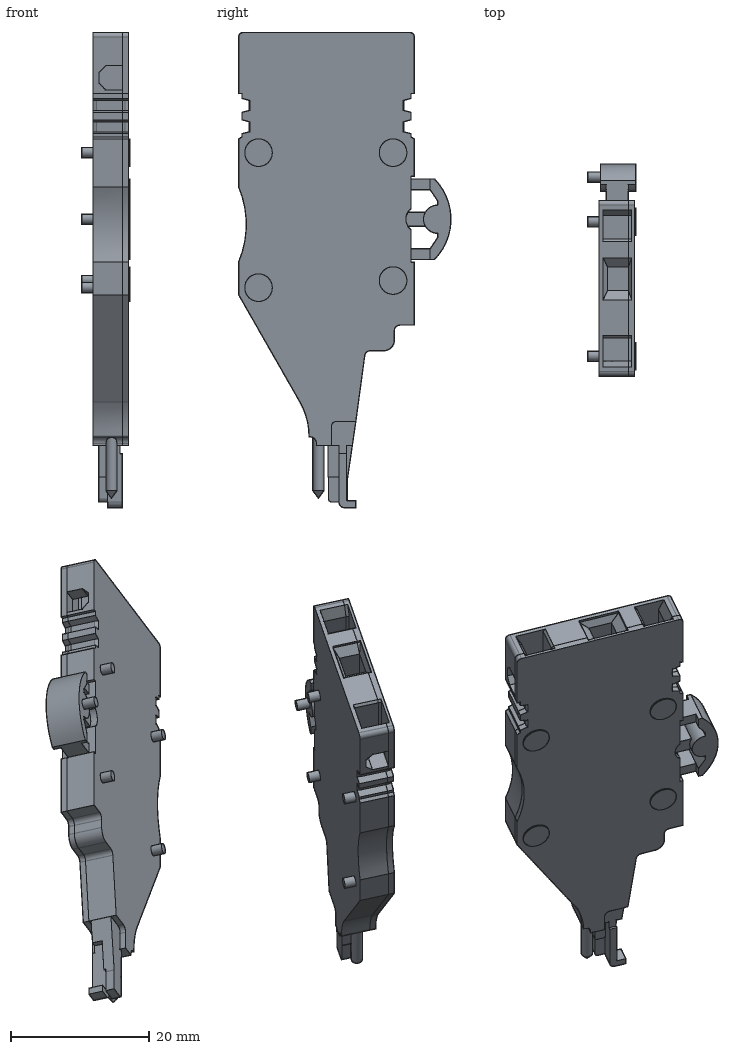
import cadquery as cq
import math

height = 68.8
width = 25.5
thickness = 5.15
seam_x = 4.3
top_round = 0.7

band_top = 59.95
band_bottom = 53.7
band_depth = 0.5
band_slope = 0.3
groove_depth = 1.5
groove_height = 2.0
groove_side_slope = 0.3
groove_tops = (59.25, 56.15)
groove_bevel_x = 0.55
groove_bevel_depth = 0.15

hollow_top = 46.45
hollow_bottom = 35.6
hollow_depth = 1.1

slope_top = 30.85
throat_y = 10.2
throat_z = 13.0
throat_round = 10.0
tongue_front_y = 11.3
tongue_back_y = 13.4
tongue_top = 10.25
tongue_bottom = 9.0
shoulder_z = 26.4
shoulder_y = 22.6
heel_z = 22.7
heel_y = 18.4
heel_round = 1.6
inner_round = 0.75
tongue_cove = 0.95
foot_top = 12.5
foot_back_y = 17.0
foot_round = 0.8

lever_z = 41.8
lever_half_height = 5.85
seat_depth = 0.5
seat_half_height = 6.2
notch_half_height = 1.5
notch_depth = 0.75

pocket_start_x = 0.6
pocket_end_x = 4.75
pocket_length = 4.55
pocket_start_y = 1.4
lead_in = 0.35
slope_length = 0.8
slope_drop = 1.7
window_bottom = 60.5
window_top = 64.0
window_wall = 0.9
window_chamfer = 0.95
funnel_y = (11.1, 17.15)
funnel_inset = 1.3
funnel_inset_x = 0.6
funnel_lip = 0.35
funnel_drop = 1.0
funnel_floor = 61.95

peg_radius = 0.75
peg_length = 1.65
boss_radius = 2.0
boss_height = 0.2
peg_places = ((2.9, 51.4), (22.4, 51.4), (22.4, 32.9), (2.9, 31.9))

lever_shift = boss_height
lever_tip_y = 30.8
lever_corner_y = 28.35
lever_inner_y = 27.75
lever_web_y = 28.85
lever_web_half_height = 2.6
hub_y = 28.85
hub_radius = 2.05
arm_height = 1.6
stem_half_height = 1.0
stem_start_x = 1.0

foot_start_x = 0.8
arm_end_x = 2.1
arm_upper_end_x = 2.4
arm_step_z = 4.5
arm_front_y = 12.95
arm_draft = 0.1
arm_back_y = 15.75
arm_taper_end = 4.05
arm_bottom = 0.8
arm_round = 0.5
hook_front_y = 14.5
hook_back_y = 15.6
hook_tip_y = foot_back_y
hook_lip = 1.0
hook_neck_x = 3.9
hook_neck_bottom = 7.85
hook_round = 0.8

pin_x = 2.7
pin_y = 11.55
pin_radius = 0.8
pin_shoulder = 2.5
pin_tip = 1.4
pin_top = 13.8


def box(x_range, y_range, z_range):
    """Box between the given limits on each axis."""
    return cq.Workplane("XY").box(
        x_range[1] - x_range[0], y_range[1] - y_range[0], z_range[1] - z_range[0], centered=False
    ).translate((x_range[0], y_range[0], z_range[0]))


def rod(x_start, x_end, y, z, radius):
    """Cylinder along X."""
    return cq.Workplane("YZ", origin=(x_start, y, z)).circle(radius).extrude(x_end - x_start)


def prism(points, x_start, x_end):
    """Straight-sided (Y, Z) outline extruded along X."""
    return cq.Workplane("YZ", origin=(x_start, 0, 0)).polyline(points).close().extrude(x_end - x_start)


def round_corner(body, x_middle, y, z, radius):
    """Round the edge along X that passes through (y, z)."""
    nearest = cq.selectors.NearestToPointSelector((x_middle, y, z))
    return body.edges("|X").edges(nearest).fillet(radius)


def groove_cutter(top):
    """Groove in the -Y edge whose floor falls away at both ends."""
    deep = groove_depth + groove_bevel_depth
    plan = [
        (0, 0),
        (0, deep),
        (groove_bevel_x, groove_depth),
        (thickness - groove_bevel_x, groove_depth),
        (thickness, deep),
        (thickness, 0),
    ]
    section = [
        (0, top + groove_side_slope),
        (band_depth, top),
        (groove_depth, top - groove_side_slope),
        (deep, top - groove_side_slope),
        (deep, top - groove_height + groove_side_slope),
        (groove_depth, top - groove_height + groove_side_slope),
        (band_depth, top - groove_height),
        (0, top - groove_height - groove_side_slope),
    ]
    bar = cq.Workplane("XY", origin=(0, 0, band_bottom)).polyline(plan).close().extrude(height - band_bottom)
    return bar.intersect(prism(section, 0, thickness))


def other_edge(cutter):
    """The same cutter on the +Y edge."""
    return cutter.mirror("XZ", (0, width / 2, 0))


def wire_pocket():
    """Pocket in the top near the -Y edge, sloped at the outer end and chamfered at the inner."""
    y_end = pocket_start_y + pocket_length
    outline = [
        (pocket_start_y, height),
        (pocket_start_y + slope_length, height - slope_drop),
        (pocket_start_y + slope_length, window_bottom),
        (y_end - lead_in, window_bottom),
        (y_end - lead_in, height - lead_in),
        (y_end, height),
    ]
    return prism(outline, pocket_start_x, pocket_end_x)


def funnel():
    """Middle pocket: a straight lip, four sloped sides and a narrower shaft."""
    x_start, x_end = pocket_start_x, pocket_end_x
    y_start, y_end = funnel_y
    lip_z = height - funnel_lip
    throat_x = (x_start + funnel_inset_x, seam_x)
    throat = (y_start + funnel_inset, y_end - funnel_inset)
    mouth = box((x_start, x_end), funnel_y, (lip_z, height))
    x_middle = (x_start + x_end) / 2
    y_middle = (y_start + y_end) / 2
    slopes = (
        cq.Workplane("XY", origin=(x_middle, y_middle, lip_z))
        .rect(x_end - x_start, y_end - y_start)
        .workplane(offset=-funnel_drop)
        .center((throat_x[0] + throat_x[1]) / 2 - x_middle, 0)
        .rect(throat_x[1] - throat_x[0], throat[1] - throat[0])
        .loft(ruled=True)
    )
    shaft = box(throat_x, throat, (funnel_floor, lip_z - funnel_drop))
    return mouth.union(slopes).union(shaft)


def side_window():
    """Opening from the -Y edge into the wire pocket beside it, closed by the cover."""
    depth = pocket_start_y + slope_length
    outline = [
        (seam_x, window_bottom),
        (window_wall + window_chamfer, window_bottom),
        (window_wall, window_bottom + window_chamfer),
        (window_wall, window_top - window_chamfer),
        (window_wall + window_chamfer, window_top),
        (seam_x, window_top),
    ]
    return cq.Workplane("XZ").polyline(outline).close().extrude(-depth)


def shell_slice(x_start, x_end):
    """Outline shared by housing and cover, with grips, seat and top openings."""
    seat_y = width - seat_depth
    seat_top = lever_z + seat_half_height
    seat_bottom = lever_z - seat_half_height
    body = (
        cq.Workplane("YZ", origin=(x_start, 0, 0))
        .moveTo(0, height)
        .lineTo(0, band_top)
        .lineTo(band_depth, band_top)
        .lineTo(band_depth, band_bottom)
        .lineTo(0, band_bottom - band_slope)
        .lineTo(0, hollow_top)
        .threePointArc((hollow_depth, (hollow_top + hollow_bottom) / 2), (0, hollow_bottom))
        .lineTo(0, slope_top)
        .lineTo(throat_y, throat_z)
        .lineTo(throat_y, tongue_top)
        .lineTo(tongue_front_y, tongue_top)
        .lineTo(tongue_front_y, tongue_bottom)
        .lineTo(tongue_back_y, tongue_bottom)
        .lineTo(tongue_back_y, foot_top)
        .lineTo(foot_back_y, foot_top)
        .lineTo(heel_y, heel_z)
        .lineTo(shoulder_y, heel_z)
        .lineTo(shoulder_y, shoulder_z)
        .lineTo(width, shoulder_z)
        .lineTo(width, seat_bottom)
        .lineTo(seat_y, seat_bottom)
        .lineTo(seat_y, lever_z - notch_half_height)
        .threePointArc((seat_y - notch_depth, lever_z), (seat_y, lever_z + notch_half_height))
        .lineTo(seat_y, seat_top)
        .lineTo(width, seat_top)
        .lineTo(width, band_bottom - band_slope)
        .lineTo(width - band_depth, band_bottom)
        .lineTo(width - band_depth, band_top)
        .lineTo(width, band_top)
        .lineTo(width, height)
        .close()
        .extrude(x_end - x_start)
    )
    corners = [
        (0, height, top_round),
        (width, height, top_round),
        (throat_y, throat_z, throat_round),
        (tongue_front_y, tongue_top, tongue_cove),
        (tongue_back_y, foot_top, foot_round),
        (heel_y, heel_z, inner_round),
        (shoulder_y, heel_z, heel_round),
        (shoulder_y, shoulder_z, inner_round),
    ]
    for y, z, radius in corners:
        body = round_corner(body, (x_start + x_end) / 2, y, z, radius)
    for top in groove_tops:
        groove = groove_cutter(top)
        body = body.cut(groove).cut(other_edge(groove))
    pocket = wire_pocket()
    body = body.cut(pocket).cut(other_edge(pocket))
    return body.cut(funnel())


def make_housing():
    body = shell_slice(0, seam_x)
    window = side_window()
    body = body.cut(window).cut(other_edge(window))
    for y, z in peg_places:
        body = body.union(rod(-peg_length, 0, y, z, peg_radius))
    pin_hole = cq.Workplane("XY", origin=(pin_x, pin_y, 0)).circle(pin_radius).extrude(pin_top)
    return body.cut(pin_hole)


def make_cover():
    body = shell_slice(seam_x, thickness)
    for y, z in peg_places:
        body = body.union(rod(thickness, thickness + boss_height, y, z, boss_radius))
    return body


def make_lever():
    """Rounded thumb piece with a hub, two arms resting on the housing and a central stem."""
    x_start, x_end = lever_shift, thickness + lever_shift
    top = lever_z + lever_half_height
    bottom = lever_z - lever_half_height
    rim = (
        cq.Workplane("YZ", origin=(x_start, 0, 0))
        .moveTo(lever_inner_y, top)
        .lineTo(lever_corner_y, top)
        .threePointArc((lever_tip_y, lever_z), (lever_corner_y, bottom))
        .lineTo(lever_inner_y, bottom)
        .lineTo(lever_inner_y, bottom + arm_height)
        .lineTo(lever_web_y, lever_z - lever_web_half_height)
        .lineTo(lever_web_y, lever_z + lever_web_half_height)
        .lineTo(lever_inner_y, top - arm_height)
        .close()
        .extrude(x_end - x_start)
    )
    rise = lever_tip_y - lever_corner_y
    rim_radius = (lever_half_height ** 2 + rise ** 2) / (2 * rise)
    rim_disc = rod(x_start, x_end, lever_tip_y - rim_radius, lever_z, rim_radius)
    hub = rod(x_start, x_end, hub_y, lever_z, hub_radius).intersect(rim_disc)
    body = rim.union(hub)

    seat_y = width - seat_depth
    for z_start in (bottom, top - arm_height):
        body = body.union(
            box((stem_start_x, seam_x), (seat_y, lever_inner_y), (z_start, z_start + arm_height))
        )

    notch_radius = (notch_half_height ** 2 + notch_depth ** 2) / (2 * notch_depth)
    notch_center_y = seat_y - notch_depth + notch_radius
    stem_corner_y = notch_center_y - math.sqrt(notch_radius ** 2 - stem_half_height ** 2)
    stem = (
        cq.Workplane("YZ", origin=(stem_start_x, 0, 0))
        .moveTo(hub_y, lever_z - stem_half_height)
        .lineTo(stem_corner_y, lever_z - stem_half_height)
        .threePointArc((seat_y - notch_depth, lever_z), (stem_corner_y, lever_z + stem_half_height))
        .lineTo(hub_y, lever_z + stem_half_height)
        .close()
        .extrude(seam_x - stem_start_x)
    )
    peg = rod(-peg_length, x_start, hub_y, lever_z, peg_radius)
    return body.union(stem).union(peg)


def make_foot():
    """Head under the housing, a tapering arm and a thinner hook plate beside it."""
    taper = (foot_back_y - arm_back_y) / (foot_top - arm_taper_end)
    head_back_y = arm_back_y + taper * (tongue_bottom - arm_taper_end)
    step_back_y = arm_back_y + taper * (arm_step_z - arm_taper_end)

    head = prism(
        [
            (tongue_back_y, tongue_bottom),
            (tongue_back_y, foot_top),
            (foot_back_y, foot_top),
            (head_back_y, tongue_bottom),
        ],
        foot_start_x,
        hook_neck_x,
    )
    head_middle_x = (foot_start_x + hook_neck_x) / 2
    head = round_corner(head, head_middle_x, tongue_back_y, foot_top, foot_round)

    upper_arm = prism(
        [
            (arm_front_y, arm_step_z),
            (arm_front_y, tongue_bottom),
            (head_back_y, tongue_bottom),
            (step_back_y, arm_step_z),
        ],
        foot_start_x,
        arm_upper_end_x,
    )

    lower_front_y = arm_front_y + arm_draft
    lower_arm = prism(
        [
            (lower_front_y, arm_bottom),
            (lower_front_y, arm_step_z),
            (step_back_y, arm_step_z),
            (arm_back_y, arm_taper_end),
            (arm_back_y, arm_bottom),
        ],
        foot_start_x,
        arm_end_x,
    )
    arm_middle_x = (foot_start_x + arm_end_x) / 2
    lower_arm = round_corner(lower_arm, arm_middle_x, lower_front_y, arm_bottom, arm_round)

    hook = prism(
        [
            (hook_front_y, 0),
            (hook_front_y, tongue_bottom),
            (hook_back_y, tongue_bottom),
            (hook_back_y, hook_lip),
            (hook_tip_y, hook_lip),
            (hook_tip_y, 0),
        ],
        arm_end_x,
        seam_x,
    )
    hook = round_corner(hook, (arm_end_x + seam_x) / 2, hook_front_y, 0, hook_round)
    neck_relief = box(
        (hook_neck_x, seam_x), (hook_front_y, hook_back_y), (hook_neck_bottom, tongue_bottom)
    )
    hook = hook.cut(neck_relief)
    return head.union(upper_arm).union(lower_arm).union(hook)


def make_pin():
    """Round pin with a conical tip."""
    outline = [
        (0, pin_tip),
        (pin_radius, pin_shoulder),
        (pin_radius, pin_top),
        (0, pin_top),
    ]
    profile = cq.Workplane("XZ").polyline(outline).close()
    return profile.revolve(360, (0, 0, 0), (0, 1, 0)).translate((pin_x, pin_y, 0))


housing = make_housing()
cover = make_cover()
lever = make_lever()
foot = make_foot()
pin = make_pin()

result = cq.Compound.makeCompound(
    [housing.val(), cover.val(), lever.val(), foot.val(), pin.val()]
)